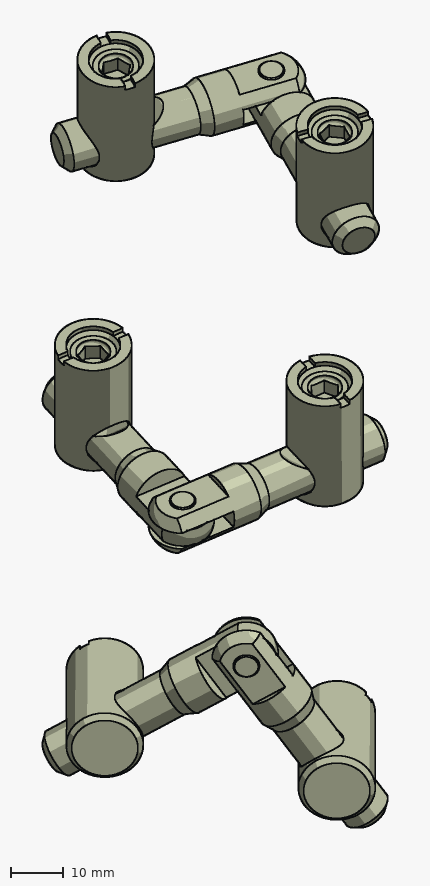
import cadquery as cq
import math


ARM_LENGTH = 44.0
KNUCKLE_RADIUS = 5.8
ROD_RADIUS = 4.85
SHOULDER_START = 8.0
TAPER_START = 14.0
TAPER_END = 16.5
ROD_CHAMFER = 1.5

TONGUE_ARM_ANGLE = 0
FORK_ARM_ANGLE = -90

TONGUE_THICKNESS = 4.0
TONGUE_END_RADIUS = 6.05
FORK_THICKNESS = 9.0
FORK_END_RADIUS = 6.85
PIN_RADIUS = 2.5
PIN_CHAMFER = 0.25
PIN_PROUD = 0.25

POST_DISTANCE = 32.0
POST_RADIUS = 7.35
POST_HEIGHT = 26.8
POST_BOTTOM = -6.85
POST_TOP = POST_BOTTOM + POST_HEIGHT
POST_CHAMFER = 1.05
ROD_HOLE_RADIUS = 5.0
SLOT_WIDTH = 2.0
SLOT_DEPTH = 1.0
MOUTH_RADIUS = 5.2

SCREW_RADIUS = 4.4
SCREW_TOP = POST_TOP - SLOT_DEPTH - (MOUTH_RADIUS - SCREW_RADIUS)
SCREW_BOTTOM = ROD_HOLE_RADIUS
HEX_ACROSS_FLATS = 5.1
HEX_DEPTH = 4.1
SOCKET_RIM_RADIUS = 3.3
SOCKET_RIM_DEPTH = 1.05
SOCKET_RIM_ROUND = 0.8

SEAT_OFFSET = 2.45
SEAT_RADIUS = 7.1


def cylinder(radius, bottom, top):
    return cq.Workplane("XY").workplane(offset=bottom).circle(radius).extrude(top - bottom)


def revolve_about_z(points):
    return cq.Workplane("XZ").polyline(points).close().revolve(360, (0, 0, 0), (0, 1, 0))


def seat_cone():
    """90 degree cone that opens upwards past the rod top."""
    apex = ROD_RADIUS - SEAT_RADIUS
    height = 2 * SEAT_RADIUS
    cone = revolve_about_z([(0, apex), (height, apex + height), (0, apex + height)])
    return cone.translate((POST_DISTANCE - SEAT_OFFSET, 0, 0))


def arm_blank(end_radius):
    """Stepped round bar along +X with a spherical end around the pivot and a screw seat."""
    end_start = math.sqrt(end_radius**2 - KNUCKLE_RADIUS**2)
    profile = (
        cq.Workplane("XY")
        .moveTo(-end_radius, 0)
        .radiusArc((-end_start, KNUCKLE_RADIUS), end_radius)
        .lineTo(TAPER_START, KNUCKLE_RADIUS)
        .lineTo(TAPER_END, ROD_RADIUS)
        .lineTo(ARM_LENGTH - ROD_CHAMFER, ROD_RADIUS)
        .lineTo(ARM_LENGTH, ROD_RADIUS - ROD_CHAMFER)
        .lineTo(ARM_LENGTH, 0)
        .close()
    )
    return profile.revolve(360, (0, 0, 0), (1, 0, 0)).cut(seat_cone())


def joint_slab(thickness):
    """Slab centred on Z = 0 that covers the joint end of an arm up to its shoulder."""
    reach = 2 * FORK_END_RADIUS
    length = SHOULDER_START + reach
    slab = cq.Workplane("XY").box(length, 2 * reach, thickness)
    return slab.translate((SHOULDER_START - length / 2, 0, 0))


def outside_slab(thickness):
    """Everything of the joint end above and below a slab of the given thickness."""
    return joint_slab(4 * KNUCKLE_RADIUS).cut(joint_slab(thickness))


def make_tongue_arm():
    pin_hole = cylinder(PIN_RADIUS, -TONGUE_THICKNESS, TONGUE_THICKNESS)
    return arm_blank(TONGUE_END_RADIUS).cut(outside_slab(TONGUE_THICKNESS)).cut(pin_hole)


def make_fork_arm():
    """Fork arm along +X with the pivot pin fixed in its prongs."""
    pin_end = FORK_THICKNESS / 2 + PIN_PROUD
    pin = cylinder(PIN_RADIUS, -pin_end, pin_end).faces("<Z or >Z").chamfer(PIN_CHAMFER)
    fork = arm_blank(FORK_END_RADIUS).cut(outside_slab(FORK_THICKNESS)).cut(joint_slab(TONGUE_THICKNESS))
    return fork.union(pin)


def make_post():
    """Post for an arm along +X, with its driver slot across the arm."""
    post = cylinder(POST_RADIUS, POST_BOTTOM, POST_TOP).faces("<Z").chamfer(POST_CHAMFER)
    mouth_floor = POST_TOP - SLOT_DEPTH
    screw_hole = revolve_about_z(
        [
            (0, 0),
            (SCREW_RADIUS, 0),
            (SCREW_RADIUS, SCREW_TOP),
            (MOUTH_RADIUS, mouth_floor),
            (MOUTH_RADIUS, POST_TOP),
            (0, POST_TOP),
        ]
    )
    slot = cq.Workplane("XY").box(SLOT_WIDTH, 2 * POST_RADIUS, 2 * SLOT_DEPTH).translate((0, 0, POST_TOP))
    rod_hole = cq.Workplane("YZ").circle(ROD_HOLE_RADIUS).extrude(POST_RADIUS, both=True)
    return post.cut(screw_hole).cut(slot).cut(rod_hole).translate((POST_DISTANCE, 0, 0))


def make_screw():
    """Set screw with a hexagon socket in a rounded recess, hexagon corners along the arm."""
    screw = cylinder(SCREW_RADIUS, SCREW_BOTTOM, SCREW_TOP)
    across_corners = HEX_ACROSS_FLATS / math.cos(math.pi / 6)
    socket_floor = cq.Workplane("XY").workplane(offset=SCREW_TOP - HEX_DEPTH)
    socket = socket_floor.polygon(6, across_corners).extrude(HEX_DEPTH)
    rim_floor = SCREW_TOP - SOCKET_RIM_DEPTH
    rim_recess = (
        cq.Workplane("XZ")
        .moveTo(0, SCREW_TOP)
        .lineTo(SOCKET_RIM_RADIUS, SCREW_TOP)
        .lineTo(SOCKET_RIM_RADIUS, rim_floor + SOCKET_RIM_ROUND)
        .radiusArc((SOCKET_RIM_RADIUS - SOCKET_RIM_ROUND, rim_floor), SOCKET_RIM_ROUND)
        .lineTo(0, rim_floor)
        .close()
        .revolve(360, (0, 0, 0), (0, 1, 0))
    )
    return screw.cut(socket).cut(rim_recess).translate((POST_DISTANCE, 0, 0))


def turn_from_x(body, angle):
    """Turn a body made for an arm along +X about the pivot axis."""
    return body.rotate((0, 0, 0), (0, 0, 1), angle)


tongue_arm = turn_from_x(make_tongue_arm(), TONGUE_ARM_ANGLE)
fork_arm = turn_from_x(make_fork_arm(), FORK_ARM_ANGLE)

posts = []
screws = []
for arm_angle in (TONGUE_ARM_ANGLE, FORK_ARM_ANGLE):
    posts.append(turn_from_x(make_post(), arm_angle).val())
    screws.append(turn_from_x(make_screw(), arm_angle).val())

result = cq.Compound.makeCompound([tongue_arm.val(), fork_arm.val(), *posts, *screws])